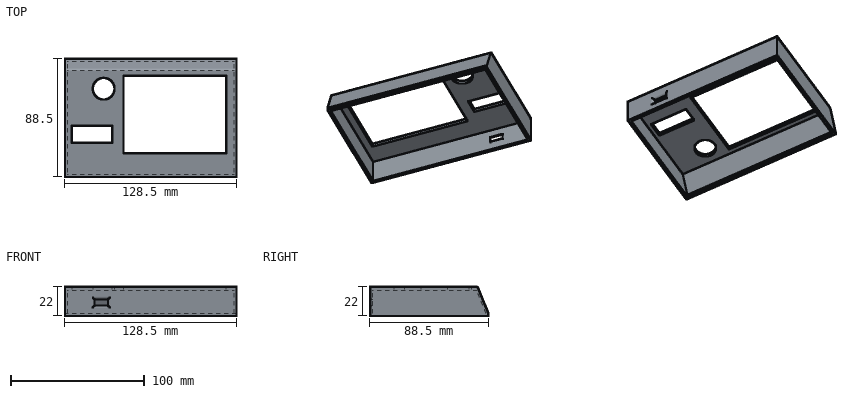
import cadquery as cq

LENGTH = 128.5
DEPTH = 88.5
HEIGHT = 22.0

BACK_LIP_HEIGHT = 2.0
TOP_DEPTH = 80.5
ROUNDING_DIAMETER = 4.0
BACK_EDGE_RADIUS = ROUNDING_DIAMETER / 2

LID_THICKNESS = 3.0
WALL = BACK_EDGE_RADIUS

WINDOW = (44.0, 18.0, 76.6, 57.7)
SLOT = (5.4, 25.8, 30.0, 12.5)
KNOB_DIAMETER = 16.0
KNOB_X = 29.0
KNOB_Y = 66.0

PORT_X = 27.2
PORT_Z = 10.2
PORT_LENGTH = 9.9
PORT_HEIGHT = 4.5
PORT_FLARE_RADIUS = WALL
PORT_DEPTH = 2 * WALL


def wedge(left, right, front, back, top_back, lip, top):
    """Block with a vertical lip at the back and a slope rising from it."""
    return (
        cq.Workplane("YZ", origin=(left, 0, 0))
        .polyline([(front, 0), (back, 0), (back, lip), (top_back, top), (front, top)])
        .close()
        .extrude(right - left)
    )


def lid_cutter(left, front, length, depth):
    """Rectangular cutter passing through the lid."""
    cutter = cq.Workplane("XY").box(length, depth, HEIGHT, centered=False)
    return cutter.translate((left, front, 0))


def cut_flared_port(body):
    """Cut a rectangular pocket in the front face and round its rim outward."""
    pocket = cq.Workplane("XY").box(PORT_LENGTH, 2 * PORT_DEPTH, PORT_HEIGHT).translate((PORT_X, 0, PORT_Z))
    rim = cq.selectors.BoxSelector(
        (PORT_X - PORT_LENGTH, -WALL / 2, PORT_Z - PORT_HEIGHT),
        (PORT_X + PORT_LENGTH, WALL / 2, PORT_Z + PORT_HEIGHT),
    )
    return body.cut(pocket).edges(rim).fillet(PORT_FLARE_RADIUS)


def make_knob_hole():
    return cq.Workplane("XY").center(KNOB_X, KNOB_Y).circle(KNOB_DIAMETER / 2).extrude(HEIGHT)


def make_shell():
    outside = wedge(0, LENGTH, 0, DEPTH, TOP_DEPTH, BACK_LIP_HEIGHT, HEIGHT)
    outside = outside.faces(">Z").edges(">Y").fillet(BACK_EDGE_RADIUS)
    outside = cut_flared_port(outside)
    slope_run = (DEPTH - TOP_DEPTH) / (HEIGHT - BACK_LIP_HEIGHT)
    inner_top = HEIGHT - LID_THICKNESS
    inner_back = DEPTH - WALL
    inner_top_back = inner_back - slope_run * (inner_top - BACK_LIP_HEIGHT)
    hollow = wedge(WALL, LENGTH - WALL, WALL, inner_back, inner_top_back, BACK_LIP_HEIGHT, inner_top)
    return outside.cut(hollow)


result = make_shell().cut(lid_cutter(*WINDOW)).cut(lid_cutter(*SLOT)).cut(make_knob_hole())